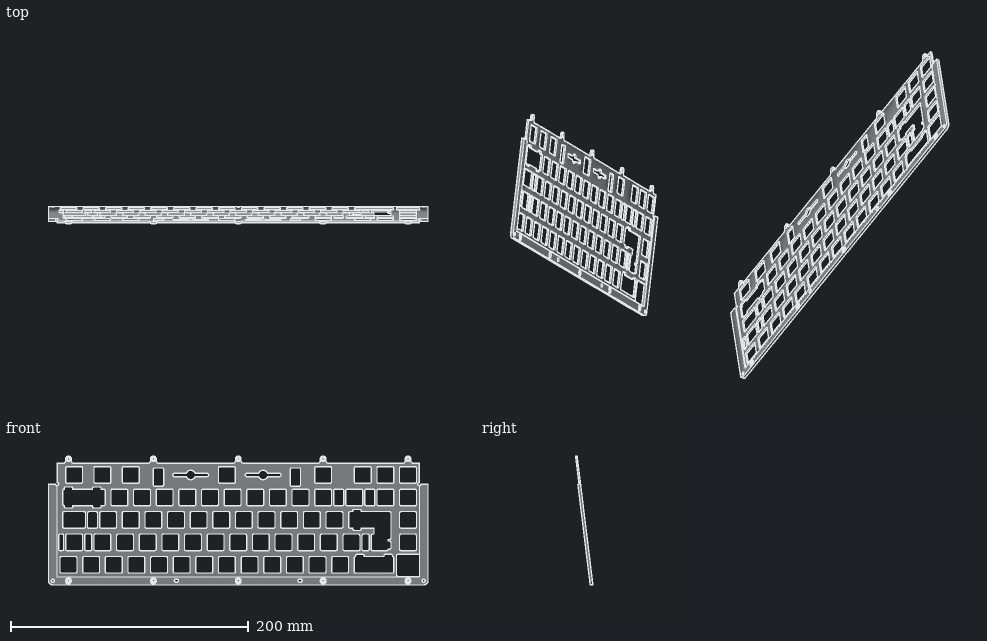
import cadquery as cq

TILT = 7.0
UNIT = 19.05
COLUMNS = 16
OVERALL_WIDTH = 319.75
PLATE_THICKNESS = 1.5
BORDER_THICKNESS = 2.5

FIELD_TOP = 48.0
FIELD_BOTTOM = -48.125
BORDER_BOTTOM = -55.1
RAIL_TOP = 30.3
BORDER_CORNER_RADIUS = 4.0
CORNER_RELIEF_DIAMETER = 2.5

SWITCH = 14.0
OPENING_RADIUS = 1.0
WEB = 2.0
END_SLOT_WIDTH = 3.9
STABILIZER_OFFSET = 11.94
STABILIZER_WIDTH = 7.0
STABILIZER_OVERHANG = 1.9

SPACEBAR_COLUMN = 7.5
SPACEBAR_STABILIZER_OFFSET = 57.6
SPACEBAR_STABILIZER_WIDTH = 8.5
SPACEBAR_STABILIZER_HEIGHT = 15.4
SPACEBAR_STABILIZER_DROP = 1.8
BULGED_SLOT_OFFSET = 1.6 * UNIT
BULGED_SLOT_LENGTH = 30.0
BULGED_SLOT_WIDTH = 3.0
BULGE_DIAMETER = 8.0

WINDOW_WIDTH = UNIT
WINDOW_TOP = -29.2
WINDOW_BOTTOM = -47.9

SCREW_COUNT = 5
SCREW_PITCH = 3.75 * UNIT
SCREW_Y = 51.6
SCREW_HOLE_DIAMETER = 2.0
COUNTERSINK_DIAMETER = 4.0
SEAT_DIAMETER = 5.0
TAB_DIAMETER = 5.0
TAB_FILLET = 2.0
PIN_Y = -51.5
PIN_HOLE_X = 156.0
PIN_HOLE_DIAMETER = 2.5
PIN_SLOT_X = 52.0
PIN_SLOT_LENGTH = 3.5

HALF_WIDTH = OVERALL_WIDTH / 2
FIELD_HALF_WIDTH = COLUMNS * UNIT / 2
HALF_SWITCH = SWITCH / 2
SPACE_ROW, SHIFT_ROW, HOME_ROW, TAB_ROW, NUMBER_ROW = 2, 1, 0, -1, -2


def column_x(column):
    """X of a place given in key units from the left edge of the field."""
    return column * UNIT - FIELD_HALF_WIDTH


def row_y(row):
    return row * UNIT


def block(x0, x1, y0, y1, height=BORDER_THICKNESS):
    return cq.Workplane("XY").box(x1 - x0, y1 - y0, height, centered=False).translate((x0, y0, 0))


def cylinder(x, y, diameter, bottom=0.0, top=BORDER_THICKNESS):
    return cq.Workplane("XY", origin=(x, y, bottom)).circle(diameter / 2).extrude(top - bottom)


def slot(x, y, length, width):
    return cq.Workplane("XY", origin=(x, y, 0)).slot2D(length, width).extrude(BORDER_THICKNESS)


def opening(x0, x1, y0, y1):
    """Cutter for a rectangular opening with rounded corners."""
    return block(x0, x1, y0, y1).edges("|Z").fillet(OPENING_RADIUS)


def centered_opening(x, y, width, height):
    return opening(x - width / 2, x + width / 2, y - height / 2, y + height / 2)


def screw_xs():
    middle = (SCREW_COUNT - 1) / 2
    return [(i - middle) * SCREW_PITCH for i in range(SCREW_COUNT)]


def border():
    outer = block(-HALF_WIDTH, HALF_WIDTH, BORDER_BOTTOM, RAIL_TOP)
    outer = outer.edges("|Z and <Y").fillet(BORDER_CORNER_RADIUS)
    return outer.cut(block(-FIELD_HALF_WIDTH, FIELD_HALF_WIDTH, FIELD_BOTTOM, RAIL_TOP))


def tabbed_field():
    """Thin plate with round-ended screw tabs blended into its upper edge."""
    field = block(-FIELD_HALF_WIDTH, FIELD_HALF_WIDTH, FIELD_BOTTOM, FIELD_TOP, PLATE_THICKNESS)
    radius = TAB_DIAMETER / 2
    for x in screw_xs():
        field = field.union(block(x - radius, x + radius, 0, SCREW_Y, PLATE_THICKNESS))
    roots = cq.selectors.BoxSelector(
        (-FIELD_HALF_WIDTH + radius, FIELD_TOP - radius / 2, 0),
        (FIELD_HALF_WIDTH - radius, FIELD_TOP + radius / 2, PLATE_THICKNESS),
    )
    field = field.edges("|Z").edges(roots).fillet(TAB_FILLET)
    for x in screw_xs():
        field = field.union(cylinder(x, SCREW_Y, TAB_DIAMETER, top=PLATE_THICKNESS))
    return field


def key_span(row, first, last):
    """Opening that joins the switch positions from column first to column last."""
    y = row_y(row)
    left = column_x(first) - HALF_SWITCH
    right = column_x(last) + HALF_SWITCH
    return opening(left, right, y - HALF_SWITCH, y + HALF_SWITCH)


def single_key_openings():
    columns_by_row = {
        SPACE_ROW: [0.75, 2, 3.25, SPACEBAR_COLUMN, 11.75, 13.5, 14.5, 15.5],
        SHIFT_ROW: [2.75 + i for i in range(10)] + [13.125, 14.5, 15.5],
        HOME_ROW: [2.25 + i for i in range(11)] + [15.5],
        TAB_ROW: [0.75] + [2 + i for i in range(12)] + [15.5],
        NUMBER_ROW: [0.5 + i for i in range(13)],
    }
    return [key_span(row, column, column) for row, columns in columns_by_row.items() for column in columns]


def relief_slots():
    """Slots that fill wide gaps between neighbouring switch openings."""
    inset = HALF_SWITCH + WEB
    tab_slot_right = column_x(0.75) - inset
    spans = [(TAB_ROW, tab_slot_right - END_SLOT_WIDTH, tab_slot_right)]
    gaps = [
        (SHIFT_ROW, 11.75, 13.125),
        (SHIFT_ROW, 13.125, 14.5),
        (HOME_ROW, 0.875, 2.25),
        (TAB_ROW, 0.75, 2),
        (TAB_ROW, 13, 14.25),
    ]
    for row, left_key, right_key in gaps:
        spans.append((row, column_x(left_key) + inset, column_x(right_key) - inset))
    return [opening(x0, x1, row_y(row) - HALF_SWITCH, row_y(row) + HALF_SWITCH) for row, x0, x1 in spans]


def stabilizer(row, column, side, below=True):
    """Notch beside a wide key, reaching past the switch opening above and, if asked, below."""
    x = column_x(column) + side * STABILIZER_OFFSET
    reach = HALF_SWITCH + STABILIZER_OVERHANG
    bottom = row_y(row) - reach if below else row_y(row)
    half_width = STABILIZER_WIDTH / 2
    return opening(x - half_width, x + half_width, bottom, row_y(row) + reach)


def wide_key_openings():
    cutters = [
        key_span(SHIFT_ROW, 0.625, 1.75),
        key_span(HOME_ROW, 0.625, 0.875),
        key_span(NUMBER_ROW, 13.5, 14.5),
    ]
    for side in (-1, 1):
        cutters.append(stabilizer(SHIFT_ROW, 1.125, side))
        cutters.append(stabilizer(NUMBER_ROW, 14, side, below=False))
    return cutters


def enter_openings():
    """Opening that takes either a wide or a tall enter key."""
    tall_x = column_x(14.375)
    tall_y = row_y((HOME_ROW + TAB_ROW) / 2)
    notch_y = tall_y - STABILIZER_OFFSET
    half_notch = STABILIZER_WIDTH / 2
    return [
        key_span(HOME_ROW, 13.25, 14.375),
        key_span(TAB_ROW, 14.25, 14.25),
        stabilizer(HOME_ROW, 13.875, -1),
        centered_opening(tall_x, tall_y, SWITCH, SWITCH),
        opening(tall_x, tall_x + HALF_SWITCH, notch_y - half_notch, notch_y + half_notch),
    ]


def spacebar_openings():
    center_x = column_x(SPACEBAR_COLUMN)
    y = row_y(SPACE_ROW)
    cutters = []
    for side in (-1, 1):
        x = center_x + side * SPACEBAR_STABILIZER_OFFSET
        window_y = y - SPACEBAR_STABILIZER_DROP
        cutters.append(centered_opening(x, window_y, SPACEBAR_STABILIZER_WIDTH, SPACEBAR_STABILIZER_HEIGHT))
        slot_x = center_x + side * BULGED_SLOT_OFFSET
        cutters.append(slot(slot_x, y, BULGED_SLOT_LENGTH, BULGED_SLOT_WIDTH))
        cutters.append(cylinder(slot_x, y, BULGE_DIAMETER))
    return cutters


def corner_window():
    """Window that runs out to the right-hand rail, rounded on its left side only."""
    window = block(FIELD_HALF_WIDTH - WINDOW_WIDTH, FIELD_HALF_WIDTH, WINDOW_BOTTOM, WINDOW_TOP)
    return [window.edges("|Z and <X").fillet(OPENING_RADIUS)]


def countersink(x, y):
    """45 degree cone opening at the plate face."""
    depth = (COUNTERSINK_DIAMETER - SCREW_HOLE_DIAMETER) / 2
    cone = cq.Solid.makeCone(
        SCREW_HOLE_DIAMETER / 2, COUNTERSINK_DIAMETER / 2, depth, pnt=(x, y, PLATE_THICKNESS - depth)
    )
    return cq.Workplane(cone)


def screw_holes():
    cutters = []
    for x in screw_xs():
        for y in (-SCREW_Y, SCREW_Y):
            cutters.append(cylinder(x, y, SCREW_HOLE_DIAMETER))
            cutters.append(countersink(x, y))
        cutters.append(cylinder(x, -SCREW_Y, SEAT_DIAMETER, bottom=PLATE_THICKNESS))
    return cutters


def pin_and_relief_holes():
    cutters = []
    for side in (-1, 1):
        cutters.append(cylinder(side * PIN_HOLE_X, PIN_Y, PIN_HOLE_DIAMETER))
        cutters.append(slot(side * PIN_SLOT_X, PIN_Y, PIN_SLOT_LENGTH, PIN_HOLE_DIAMETER))
        cutters.append(cylinder(side * FIELD_HALF_WIDTH, RAIL_TOP, CORNER_RELIEF_DIAMETER))
    return cutters


blank = border().union(tabbed_field())
cutters = (
    single_key_openings()
    + relief_slots()
    + wide_key_openings()
    + enter_openings()
    + spacebar_openings()
    + corner_window()
    + screw_holes()
    + pin_and_relief_holes()
)
flat_plate = cq.Workplane(blank.val().cut(*[cutter.val() for cutter in cutters]))

result = flat_plate.rotate((0, 0, 0), (1, 0, 0), 90 + TILT)